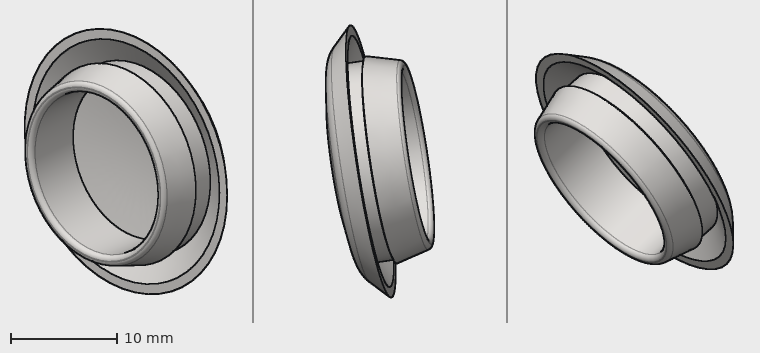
import cadquery as cq
import math


cap_radius = 13.0
cap_height = 3.5
cap_edge_angle = 45.0
dome_radius = 50.0
shoulder_blend_radius = 3.0
seat_width = 1.0
recess_angle = 30.0
cap_wall = 1.5

skirt_depth = 4.5
neck_radius = 9.5
bore_radius = 8.0
catch_radius = 9.9
catch_depth = 1.0
catch_shoulder_slope = 15.0
skirt_taper = 15.0
tip_blend_radius = 0.5


def dome_height(radial, sphere_radius, apex_height):
    """Height of a dome at a given distance from the axis."""
    return apex_height - sphere_radius + math.sqrt(sphere_radius**2 - radial**2)


def shoulder_blend():
    """Start, middle and end of the arc tangent to both the dome and the edge cone."""
    edge_angle = math.radians(cap_edge_angle)
    normal_x = math.sin(edge_angle)
    normal_y = math.cos(edge_angle)
    dome_centre_y = cap_height - dome_radius

    across = cap_radius * normal_x - shoulder_blend_radius - dome_centre_y * normal_y
    along = math.sqrt((dome_radius - shoulder_blend_radius) ** 2 - across**2)
    centre_x = across * normal_x - along * normal_y
    centre_y = dome_centre_y + across * normal_y + along * normal_x

    dome_side_angle = math.atan2(centre_y - dome_centre_y, centre_x)
    cone_side_angle = math.atan2(normal_y, normal_x)
    middle_angle = (dome_side_angle + cone_side_angle) / 2
    return [
        (
            centre_x + shoulder_blend_radius * math.cos(angle),
            centre_y + shoulder_blend_radius * math.sin(angle),
        )
        for angle in (dome_side_angle, middle_angle, cone_side_angle)
    ]


def half_section():
    """Closed half profile, radius along X and height along Y."""
    seat_inner_radius = cap_radius - seat_width
    recess_depth = (seat_inner_radius - neck_radius) * math.tan(math.radians(recess_angle))
    shoulder_fall = (catch_radius - neck_radius) * math.tan(math.radians(catch_shoulder_slope))
    inner_dome_radius = dome_radius - cap_wall
    inner_apex = cap_height - cap_wall
    tip_radius = catch_radius - (skirt_depth - catch_depth) * math.tan(math.radians(skirt_taper))
    blend_start, blend_middle, blend_end = shoulder_blend()
    outer_mid = blend_start[0] / 2
    inner_mid = bore_radius / 2
    return (
        cq.Workplane("XY")
        .moveTo(0, cap_height)
        .threePointArc((outer_mid, dome_height(outer_mid, dome_radius, cap_height)), blend_start)
        .threePointArc(blend_middle, blend_end)
        .lineTo(cap_radius, 0)
        .lineTo(seat_inner_radius, 0)
        .lineTo(neck_radius, recess_depth)
        .lineTo(neck_radius, shoulder_fall - catch_depth)
        .lineTo(catch_radius, -catch_depth)
        .lineTo(tip_radius, -skirt_depth)
        .lineTo(bore_radius, -skirt_depth)
        .lineTo(bore_radius, dome_height(bore_radius, inner_dome_radius, inner_apex))
        .threePointArc(
            (inner_mid, dome_height(inner_mid, inner_dome_radius, inner_apex)),
            (0, inner_apex),
        )
        .close()
    )


plug = half_section().revolve(axisStart=(0, 0, 0), axisEnd=(0, 1, 0))
result = plug.faces("<Y").edges().fillet(tip_blend_radius)